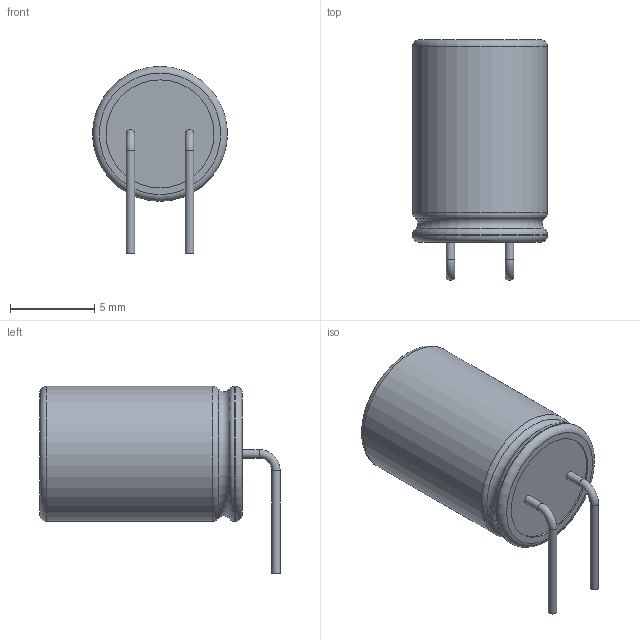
import cadquery as cq
import math


can_diameter = 8.0
can_length = 12.0
edge_radius = 0.4
can_radius = can_diameter / 2

groove_center_y = 1.1
groove_depth = 0.32
groove_arc_radius = 0.4

recess_diameter = 6.4
recess_depth = 0.1

lead_diameter = 0.5
lead_pitch = 3.5
lead_straight_length = 1.0
lead_bend_radius = 1.0
lead_tip_z = -7.1


def make_can():
    """Revolve the can's half outline (radius along X, length along Y) about the Y axis."""
    blend_angle = math.acos(1 - groove_depth / (2 * groove_arc_radius))
    blend_half_width = groove_arc_radius * math.sin(blend_angle)
    groove_half_width = 2 * blend_half_width

    mid_drop = groove_arc_radius * (1 - math.cos(blend_angle / 2))
    mid_run = groove_arc_radius * math.sin(blend_angle / 2)

    groove_start_y = groove_center_y - groove_half_width
    groove_end_y = groove_center_y + groove_half_width
    blend_radius = can_radius - groove_depth / 2
    floor_radius = can_radius - groove_depth
    blend_start = (blend_radius, groove_center_y - blend_half_width)
    blend_end = (blend_radius, groove_center_y + blend_half_width)

    outline = (
        cq.Workplane("XY")
        .moveTo(0, 0)
        .lineTo(can_radius - edge_radius, 0)
        .radiusArc((can_radius, edge_radius), -edge_radius)
        .lineTo(can_radius, groove_start_y)
        .threePointArc((can_radius - mid_drop, groove_start_y + mid_run), blend_start)
        .threePointArc((floor_radius, groove_center_y), blend_end)
        .threePointArc((can_radius - mid_drop, groove_end_y - mid_run), (can_radius, groove_end_y))
        .lineTo(can_radius, can_length - edge_radius)
        .radiusArc((can_radius - edge_radius, can_length), -edge_radius)
        .lineTo(0, can_length)
        .close()
    )
    return outline.revolve(360, (0, 0, 0), (0, 1, 0))


def make_recess():
    """Disc removed from the lead-side face."""
    return cq.Workplane("XZ").circle(recess_diameter / 2).extrude(-recess_depth)


def make_lead(x):
    """Round wire leaving the recess floor along -Y, then bending down to its tip."""
    bend_start_y = -lead_straight_length
    drop_y = bend_start_y - lead_bend_radius
    path = (
        cq.Workplane("YZ", origin=(x, 0, 0))
        .moveTo(recess_depth, 0)
        .lineTo(bend_start_y, 0)
        .radiusArc((drop_y, -lead_bend_radius), -lead_bend_radius)
        .lineTo(drop_y, lead_tip_z)
    )
    section = cq.Workplane("XZ", origin=(x, recess_depth, 0)).circle(lead_diameter / 2)
    return section.sweep(path)


result = make_can().cut(make_recess())
for side in (-1, 1):
    result = result.union(make_lead(side * lead_pitch / 2))